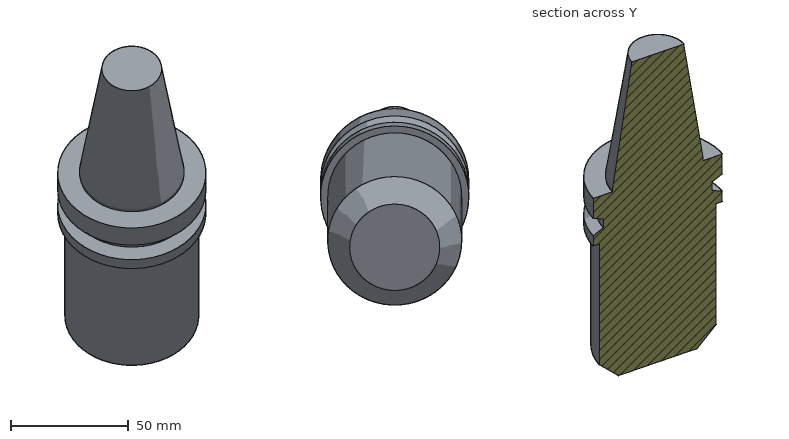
import cadquery as cq

total_length = 167.0
taper_length = 65.5
neck_length = 1.0
upper_flange_height = 10.9
groove_chamfer_height = 2.5
groove_floor_height = 4.3
lower_flange_height = 5.7
nose_height = 9.5

taper_tip_diameter = 25.4
taper_base_diameter = 44.5
flange_diameter = 63.0
groove_diameter = 53.1
body_diameter = 57.0
nose_tip_diameter = 38.2

neck_top = total_length - taper_length
flange_top = neck_top - neck_length
groove_top = flange_top - upper_flange_height
groove_floor_top = groove_top - groove_chamfer_height
groove_floor_bottom = groove_floor_top - groove_floor_height
groove_bottom = groove_floor_bottom - groove_chamfer_height
flange_bottom = groove_bottom - lower_flange_height

profile = [
    (taper_tip_diameter, total_length),
    (taper_base_diameter, neck_top),
    (taper_base_diameter, flange_top),
    (flange_diameter, flange_top),
    (flange_diameter, groove_top),
    (groove_diameter, groove_floor_top),
    (groove_diameter, groove_floor_bottom),
    (flange_diameter, groove_bottom),
    (flange_diameter, flange_bottom),
    (body_diameter, flange_bottom),
    (body_diameter, nose_height),
    (nose_tip_diameter, 0),
]
outline = [(0, total_length)]
outline += [(diameter / 2, level) for diameter, level in profile]
outline += [(0, 0)]

result = cq.Workplane("XZ").polyline(outline).close().revolve(360, (0, 0, 0), (0, 1, 0))